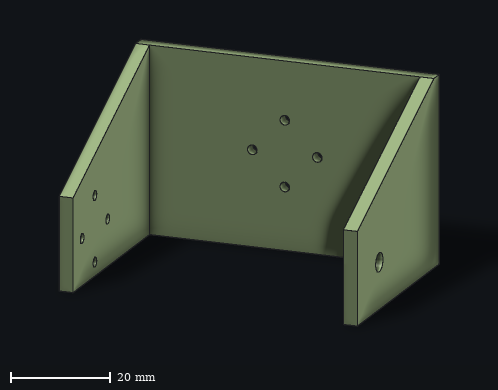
import cadquery as cq

width = 64.5
depth = 45.0
height = 40.0
thickness = 3.0
front_height = height / 2

small_diameter = 2.0
pivot_diameter = 4.0
pattern_radius = 7.0
back_pattern_z = 20.45
side_hole_setback = 12.0
side_hole_z = front_height / 2

front_y = -depth / 2
back_y = depth / 2
back_inner_y = back_y - thickness
arm_inner_x = width / 2 - thickness


def side_profile_body():
    """Extrude the sloped arm outline across the full width."""
    outline = [
        (front_y, 0),
        (back_y, 0),
        (back_y, height),
        (back_inner_y, height),
        (front_y, front_height),
    ]
    return cq.Workplane("YZ").polyline(outline).close().extrude(width / 2, both=True)


def inner_space():
    """Open space between the two arms, in front of the back plate."""
    return cq.Workplane("XY").box(
        2 * arm_inner_x, depth - thickness, height, centered=(True, False, False)
    ).translate((0, front_y, 0))


def cross_holes(plane):
    """Four small drills on a cross around the plane origin, one plate deep."""
    return (
        cq.Workplane(plane)
        .polarArray(pattern_radius, 0, 360, 4)
        .circle(small_diameter / 2)
        .extrude(thickness)
    )


side_hole_y = front_y + side_hole_setback
back_plane = cq.Plane(origin=(0, back_inner_y, back_pattern_z), xDir=(1, 0, 0), normal=(0, 1, 0))
left_plane = cq.Plane(origin=(-width / 2, side_hole_y, side_hole_z), xDir=(0, 1, 0), normal=(1, 0, 0))
right_plane = cq.Plane(origin=(arm_inner_x, side_hole_y, side_hole_z), xDir=(0, 1, 0), normal=(1, 0, 0))

pivot_hole = cq.Workplane(right_plane).circle(pivot_diameter / 2).extrude(thickness)

result = (
    side_profile_body()
    .cut(inner_space())
    .cut(cross_holes(back_plane))
    .cut(cross_holes(left_plane))
    .cut(pivot_hole)
)